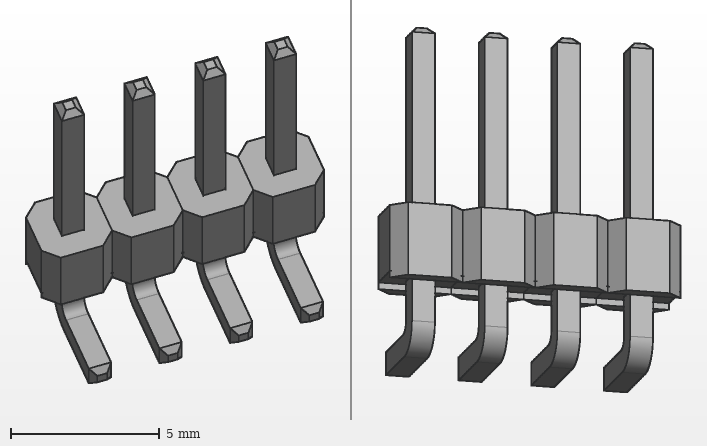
import cadquery as cq


PIN_COUNT = 4
PITCH = 2.54

HOUSING_SIDE = PITCH
HOUSING_HEIGHT = PITCH
HOUSING_BOTTOM = 2.35
CORNER_CHAMFER = 0.51
NOTCH_WIDTH = HOUSING_SIDE - 2 * CORNER_CHAMFER
NOTCH_DEPTH = 0.23

PIN_SIDE = 0.8
PIN_HEIGHT = 11.34
TOTAL_DEPTH = 4.54
LEG_REACH = TOTAL_DEPTH - HOUSING_SIDE / 2
OUTER_BEND_RADIUS = 1.0
INNER_BEND_RADIUS = 0.4
TIP_CHAMFER = 0.23


def make_housing(y):
    """Octagonal block with a square pin hole and a shallow notch along Y in its underside."""
    block = (
        cq.Workplane("XY", origin=(0, y, HOUSING_BOTTOM))
        .rect(HOUSING_SIDE, HOUSING_SIDE)
        .extrude(HOUSING_HEIGHT)
        .edges("|Z")
        .chamfer(CORNER_CHAMFER)
    )
    notch = (
        cq.Workplane("XY", origin=(0, y, HOUSING_BOTTOM))
        .rect(NOTCH_WIDTH, HOUSING_SIDE)
        .extrude(NOTCH_DEPTH)
    )
    pin_hole = (
        cq.Workplane("XY", origin=(0, y, HOUSING_BOTTOM))
        .rect(PIN_SIDE, PIN_SIDE)
        .extrude(HOUSING_HEIGHT)
    )
    return block.cut(notch).cut(pin_hole)


def make_pin(y):
    """Square L-shaped pin with a rounded bend and tapered tips at both ends."""
    half_side = PIN_SIDE / 2
    pin = (
        cq.Workplane("XZ", origin=(0, y, 0))
        .moveTo(-half_side, 0)
        .lineTo(LEG_REACH, 0)
        .lineTo(LEG_REACH, PIN_SIDE)
        .lineTo(half_side, PIN_SIDE)
        .lineTo(half_side, PIN_HEIGHT)
        .lineTo(-half_side, PIN_HEIGHT)
        .close()
        .extrude(half_side, both=True)
    )
    outer_corner = cq.selectors.NearestToPointSelector((-half_side, y, 0))
    inner_corner = cq.selectors.NearestToPointSelector((half_side, y, PIN_SIDE))
    pin = pin.edges("|Y").edges(outer_corner).fillet(OUTER_BEND_RADIUS)
    pin = pin.edges("|Y").edges(inner_corner).fillet(INNER_BEND_RADIUS)
    pin = pin.faces(">Z").chamfer(TIP_CHAMFER)
    return pin.faces(">X").chamfer(TIP_CHAMFER)


row_positions = [(i - (PIN_COUNT - 1) / 2) * PITCH for i in range(PIN_COUNT)]
housings = [make_housing(y).val() for y in row_positions]
pins = [make_pin(y).val() for y in row_positions]

result = cq.Compound.makeCompound([*housings, *pins])